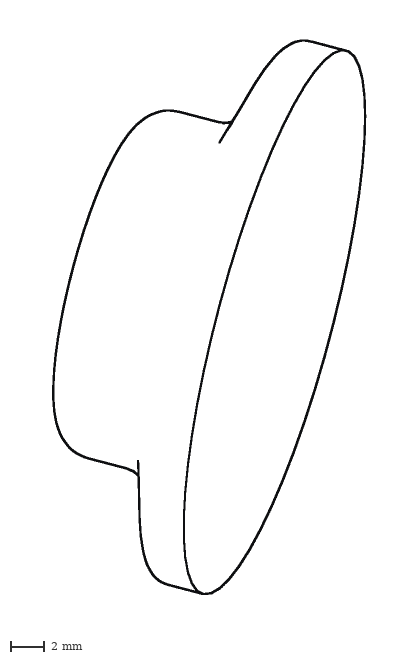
import cadquery as cq
import math

total_length = 11.0
flange_radius = 34 / 2
hub_radius = 21.7 / 2
rim_width = 2.82
cone_angle = 20
hub_round = 2.0
rim_round = 0.78

back_x = total_length / 2
front_x = -back_x
rim_x = back_x - rim_width
cone_depth = (flange_radius - hub_radius) * math.tan(math.radians(cone_angle))
root_x = rim_x - cone_depth

body = (
    cq.Workplane("XY")
    .moveTo(front_x, 0)
    .lineTo(front_x, hub_radius)
    .lineTo(root_x, hub_radius)
    .lineTo(rim_x, flange_radius)
    .lineTo(back_x, flange_radius)
    .lineTo(back_x, 0)
    .close()
    .revolve(360, (0, 0, 0), (1, 0, 0))
)


def round_circle(solid, x, edge_radius, fillet_radius):
    """Fillet the circular edge of the given radius at position x."""
    margin = 0.05
    reach = edge_radius + margin
    slab = cq.selectors.BoxSelector(
        (x - margin, -reach, -reach), (x + margin, reach, reach), boundingbox=True
    )
    return solid.edges("%CIRCLE").edges(slab).fillet(fillet_radius)


body = round_circle(body, front_x, hub_radius, hub_round)
body = round_circle(body, root_x, hub_radius, hub_round)
result = round_circle(body, rim_x, flange_radius, rim_round)